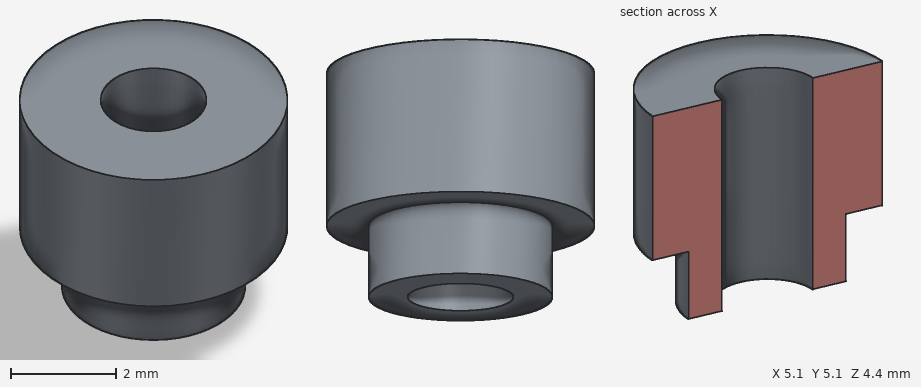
import cadquery as cq

body_diameter = 5.1
spigot_diameter = 3.5
bore_diameter = 2.01
body_height = 3.0
spigot_height = 1.4
total_height = body_height + spigot_height


def cylinder(diameter, height, base_z=0.0):
    """Upright cylinder on the Z axis, starting at base_z."""
    return cq.Workplane("XY").workplane(offset=base_z).circle(diameter / 2).extrude(height)


spigot = cylinder(spigot_diameter, spigot_height)
body = cylinder(body_diameter, body_height, base_z=spigot_height)

bore = cylinder(bore_diameter, total_height)

result = spigot.union(body).cut(bore)